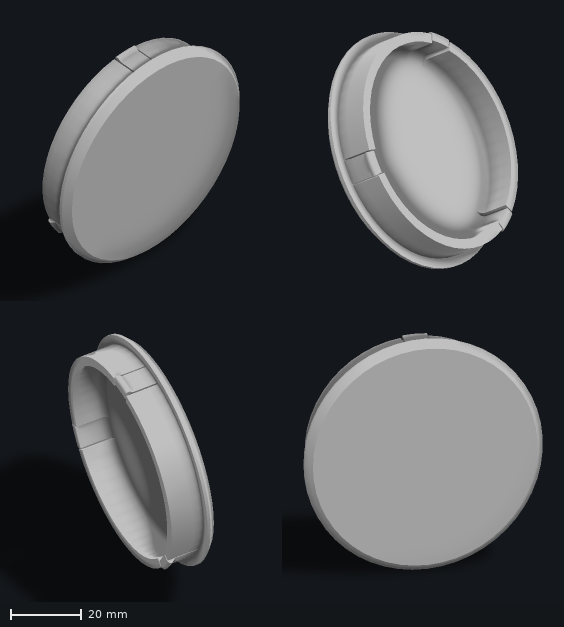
import cadquery as cq
import math

flange_radius = 35.0
flange_thickness = 3.0
flange_chamfer = 2.0
wall_length = 10.0
total_length = wall_length + flange_thickness

wall_outer_radius = 32.1
wall_inner_radius = 29.25
floor_fillet = 2.0

tab_count = 3
first_tab_angle = 90.0
tab_inner_radius = 30.2
tab_outer_radius = wall_outer_radius
tab_angle = 12.4
slot_angle = 14.0
slot_margin = 0.7

bead_radius = 0.9
bead_length = 2.4


def revolve_sector(profile, angle, center_angle):
    """Revolve an (axial, radial) profile about X, centred on center_angle."""
    sector = profile.revolve(angle, (0, 0, 0), (1, 0, 0))
    return sector.rotate((0, 0, 0), (1, 0, 0), center_angle - angle / 2)


def flange_profile():
    return (
        cq.Workplane("XY")
        .moveTo(wall_length, 0)
        .lineTo(wall_length, flange_radius)
        .lineTo(total_length - flange_chamfer, flange_radius)
        .lineTo(total_length, flange_radius - flange_chamfer)
        .lineTo(total_length, 0)
        .close()
    )


def finish_inner_edge(outline, inner_radius):
    """Close a wall outline from the flange back to its free end, with the floor fillet."""
    fillet_center_x = wall_length - floor_fillet
    fillet_center_r = inner_radius - floor_fillet
    middle_offset = floor_fillet * math.sqrt(0.5)
    return (
        outline.lineTo(wall_length, fillet_center_r)
        .threePointArc(
            (fillet_center_x + middle_offset, fillet_center_r + middle_offset),
            (fillet_center_x, inner_radius),
        )
        .lineTo(0, inner_radius)
        .close()
    )


def wall_profile():
    outline = (
        cq.Workplane("XY")
        .moveTo(0, wall_inner_radius)
        .lineTo(0, wall_outer_radius)
        .lineTo(wall_length, wall_outer_radius)
    )
    return finish_inner_edge(outline, wall_inner_radius)


def tab_profile():
    """Thin wall strip with a rounded snap bead that ramps down to the outer surface."""
    ramp_offset = bead_radius * math.sqrt(0.5)
    outline = (
        cq.Workplane("XY")
        .moveTo(0, tab_inner_radius)
        .lineTo(0, tab_outer_radius)
        .threePointArc(
            (bead_radius, tab_outer_radius + bead_radius),
            (bead_radius + ramp_offset, tab_outer_radius + ramp_offset),
        )
        .lineTo(bead_length, tab_outer_radius)
        .lineTo(wall_length, tab_outer_radius)
    )
    return finish_inner_edge(outline, tab_inner_radius)


def slot_profile():
    inner_radius = wall_inner_radius - floor_fillet - slot_margin
    outer_radius = wall_outer_radius + slot_margin
    return (
        cq.Workplane("XY")
        .moveTo(0, inner_radius)
        .lineTo(0, outer_radius)
        .lineTo(wall_length, outer_radius)
        .lineTo(wall_length, inner_radius)
        .close()
    )


flange = revolve_sector(flange_profile(), 360, 0)
wall = revolve_sector(wall_profile(), 360, 0)
tab_angles = [first_tab_angle + i * 360 / tab_count for i in range(tab_count)]

for center_angle in tab_angles:
    wall = wall.cut(revolve_sector(slot_profile(), slot_angle, center_angle))

result = flange.union(wall)
for center_angle in tab_angles:
    result = result.union(revolve_sector(tab_profile(), tab_angle, center_angle))